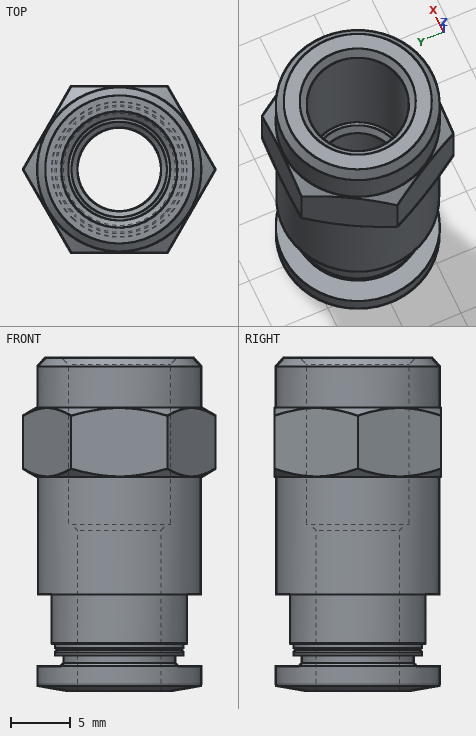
import cadquery as cq
import math

total_height = 28.0

button_diameter = 13.78
button_face_diameter = 8.57
button_edge_diameter = 13.72
button_cone_top = 0.45
button_edge_top = 0.62
button_top = 2.1
neck_foot_diameter = 9.9
neck_foot_top = 2.35
neck_diameter = 9.4

lip_diameter = 10.8
lip_bottom = 3.0
groove_diameter = 10.55
lip_top = 3.25
groove_bottom = 3.45
groove_top = 3.6

sleeve_diameter = 11.4
sleeve_bottom = 3.98
sleeve_edge_chamfer = 0.05
body_diameter = 13.7
body_bottom = 8.12

hex_across_flats = 14.0
hex_bottom = 17.98
hex_top = 23.83
hex_chamfer_diameter = 13.8
hex_chamfer_height = 0.7
hex_across_corners = hex_across_flats / math.cos(math.pi / 6)

end_diameter = 13.78
end_chamfer_height = 0.73
end_face_diameter = 12.43

bore_diameter = 7.0
seat_diameter = 8.0
socket_diameter = 8.57
mouth_diameter = 9.75
socket_depth = 14.0


def revolve_profile(diameters_and_heights):
    """Revolve a closed outline, from the axis outward and back, around Z."""
    outline = [(diameter / 2, height) for diameter, height in diameters_and_heights]
    first_height = outline[0][1]
    last_height = outline[-1][1]
    outline = [(0, first_height)] + outline + [(0, last_height)]
    return cq.Workplane("XZ").polyline(outline).close().revolve(360, (0, 0), (0, 1))


def make_turned_body():
    """Stepped round outside, listed from bottom to top."""
    return revolve_profile([
        (button_face_diameter, 0),
        (button_edge_diameter, button_cone_top),
        (button_diameter, button_edge_top),
        (button_diameter, button_top),
        (neck_foot_diameter, button_top),
        (neck_diameter, neck_foot_top),
        (neck_diameter, lip_bottom),
        (lip_diameter, lip_bottom),
        (lip_diameter, lip_top),
        (groove_diameter, groove_bottom),
        (groove_diameter, groove_top),
        (lip_diameter, groove_top),
        (lip_diameter, sleeve_bottom),
        (sleeve_diameter - 2 * sleeve_edge_chamfer, sleeve_bottom),
        (sleeve_diameter, sleeve_bottom + sleeve_edge_chamfer),
        (sleeve_diameter, body_bottom),
        (body_diameter, body_bottom),
        (body_diameter, hex_bottom),
        (end_diameter, hex_bottom),
        (end_diameter, total_height - end_chamfer_height),
        (end_face_diameter, total_height),
    ])


def make_hexagon():
    """Hexagonal prism with its corners trimmed by a cone at each end."""
    prism = (
        cq.Workplane("XY")
        .workplane(offset=hex_bottom)
        .polygon(6, hex_across_corners)
        .extrude(hex_top - hex_bottom)
    )
    corner_trim = revolve_profile([
        (hex_chamfer_diameter, hex_bottom),
        (hex_across_corners, hex_bottom + hex_chamfer_height),
        (hex_across_corners, hex_top - hex_chamfer_height),
        (hex_chamfer_diameter, hex_top),
    ])
    return prism.intersect(corner_trim)


def make_bore():
    """Through bore with a conical seat, a wide socket and a chamfered mouth."""
    socket_floor = total_height - socket_depth
    seat_depth = (seat_diameter - bore_diameter) / 2
    mouth_depth = (mouth_diameter - socket_diameter) / 2
    return revolve_profile([
        (bore_diameter, 0),
        (bore_diameter, socket_floor - seat_depth),
        (seat_diameter, socket_floor),
        (socket_diameter, socket_floor),
        (socket_diameter, total_height - mouth_depth),
        (mouth_diameter, total_height),
    ])


result = make_turned_body().union(make_hexagon()).cut(make_bore())